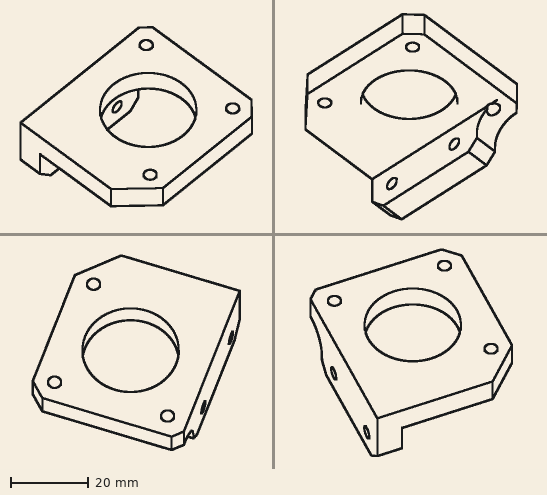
import cadquery as cq
import math


motor_width = 42.0
half_width = motor_width / 2
wall_overhang = 5.0
plate_thickness = 7.0
overall_height = 19.0

left = -half_width
right = half_width
back = half_width
front = -half_width - wall_overhang
bottom = -overall_height

back_left_chamfer = 2.5
back_right_chamfer = 4.0
front_right_chamfer = 9.5

bore_diameter = 25.0
bore_rim_radius = 1.0
screw_diameter = 3.4
motor_hole_spacing = 31.0
motor_hole_offset = motor_hole_spacing / 2

wall_thickness = 7.0
wall_setback = 10.0
wall_back = back - wall_setback
wall_front_chamfer = 4.0
wall_back_chamfer = 3.0
fillet_radius = 7.0
wall_hole_height = 6.0
wall_hole_front_margin = 7.0
wall_hole_spacing = 22.0


def make_plate():
    """Motor plate with three clipped corners."""
    outline = [
        (left, front),
        (right - front_right_chamfer, front),
        (right, front + front_right_chamfer),
        (right, back - back_right_chamfer),
        (right - back_right_chamfer, back),
        (left + back_left_chamfer, back),
        (left, back - back_left_chamfer),
    ]
    return cq.Workplane("XY").polyline(outline).close().extrude(-plate_thickness)


def make_wall():
    """Wall profile drawn in Y and Z, with a concave blend into the plate underside."""
    underside = -plate_thickness
    diagonal = fillet_radius * math.cos(math.radians(45))
    arc_center_y = wall_back + fillet_radius
    arc_center_z = underside - fillet_radius
    return (
        cq.Workplane("YZ", origin=(left, 0, 0))
        .moveTo(front, underside)
        .lineTo(front, bottom + wall_front_chamfer)
        .lineTo(front + wall_front_chamfer, bottom)
        .lineTo(wall_back - wall_back_chamfer, bottom)
        .lineTo(wall_back, bottom + wall_back_chamfer)
        .lineTo(wall_back, arc_center_z)
        .threePointArc(
            (arc_center_y - diagonal, arc_center_z + diagonal),
            (arc_center_y, underside),
        )
        .close()
        .extrude(wall_thickness)
    )


def make_bore():
    """Central through bore, flared by a rounded rim on the plate underside."""
    radius = bore_diameter / 2
    diagonal = bore_rim_radius * math.cos(math.radians(45))
    rim_radius = radius + bore_rim_radius
    rim_z = -plate_thickness + bore_rim_radius
    return (
        cq.Workplane("XZ")
        .lineTo(radius, 0)
        .lineTo(radius, rim_z)
        .threePointArc(
            (rim_radius - diagonal, rim_z - diagonal),
            (rim_radius, -plate_thickness),
        )
        .lineTo(0, -plate_thickness)
        .close()
        .revolve(360, (0, 0, 0), (0, 1, 0))
    )


def make_motor_holes():
    """Three motor screw holes, clear through the full height so the wall end is relieved too."""
    corners = [
        (-motor_hole_offset, motor_hole_offset),
        (motor_hole_offset, motor_hole_offset),
        (motor_hole_offset, -motor_hole_offset),
    ]
    return (
        cq.Workplane("XY")
        .pushPoints(corners)
        .circle(screw_diameter / 2)
        .extrude(-overall_height)
    )


def make_wall_holes():
    """Two mounting holes through the wall along X."""
    first_y = front + wall_hole_front_margin
    hole_z = bottom + wall_hole_height
    return (
        cq.Workplane("YZ", origin=(left, 0, 0))
        .pushPoints([(first_y, hole_z), (first_y + wall_hole_spacing, hole_z)])
        .circle(screw_diameter / 2)
        .extrude(wall_thickness)
    )


body = make_plate().union(make_wall())
result = body.cut(make_bore()).cut(make_motor_holes()).cut(make_wall_holes())